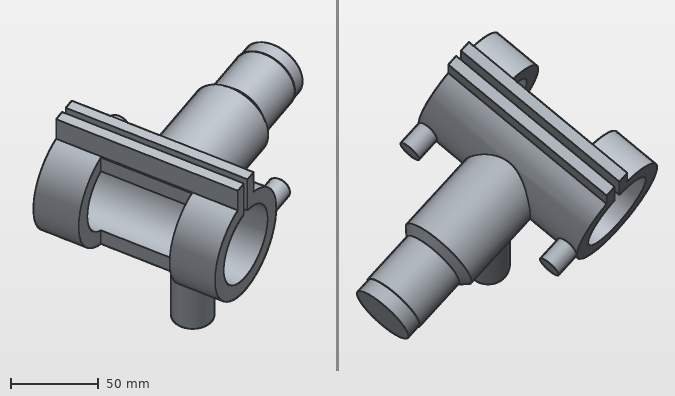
import cadquery as cq

saddle_length = 120.0
sleeve_radius = 35.0
bore_radius = 25.0
lug_top = 49.1
lug_outer_y = 9.0
split_width = 4.0

window_width = saddle_length / 2
window_edge_y = -9.7

tower_end = 134.9
tower_radius = 25.0
neck_radius = 20.0
shoulder_y = 91.2
shoulder_length = tower_radius - neck_radius

head_radius = 19.5
head_length = 9.5
shank_radius = 10.0
neck_end = tower_end - head_length

outlet_radius = 12.5
outlet_y = 43.1
outlet_bottom = -116.7

stub_radius = 7.1
stub_end = 50.6
stub_x = saddle_length / 2 - stub_radius


def cylinder_along_y(radius, start, end, x=0):
    return cq.Workplane("XZ", origin=(x, start, 0)).circle(radius).extrude(start - end)


def cylinder_along_x(radius):
    return cq.Workplane("YZ").circle(radius).extrude(saddle_length / 2, both=True)


def make_tower():
    """Tower with its tapered shoulder and neck, starting on the sleeve axis."""
    profile = [
        (0, 0),
        (tower_radius, 0),
        (tower_radius, shoulder_y - shoulder_length),
        (neck_radius, shoulder_y),
        (neck_radius, neck_end),
        (0, neck_end),
    ]
    return cq.Workplane("XY").polyline(profile).close().revolve(360, (0, 0), (0, 1))


def make_outlet():
    return (
        cq.Workplane("XY", origin=(0, outlet_y, outlet_bottom))
        .circle(outlet_radius)
        .extrude(-outlet_bottom)
    )


def make_window():
    return cq.Workplane("XY").box(
        window_width, sleeve_radius, 2 * sleeve_radius, centered=(True, False, True)
    ).translate((0, window_edge_y - sleeve_radius, 0))


def make_saddle():
    """Sleeve with lugs, tower, outlet and stubs, bored for the pipe and the plug."""
    lugs = cq.Workplane("XY").box(
        saddle_length, 2 * lug_outer_y, lug_top, centered=(True, True, False)
    )
    split = cq.Workplane("XY").box(
        saddle_length, split_width, lug_top, centered=(True, True, False)
    )
    saddle = cylinder_along_x(sleeve_radius).union(lugs).union(make_tower()).union(make_outlet())
    for x in (-stub_x, stub_x):
        saddle = saddle.union(cylinder_along_y(stub_radius, bore_radius, stub_end, x))
    saddle = saddle.cut(cylinder_along_x(bore_radius)).cut(split).cut(make_window())
    return saddle.cut(cylinder_along_y(shank_radius, 0, neck_end))


def make_plug():
    """Plug whose shank ends level with the back of the pipe bore."""
    shank = cylinder_along_y(shank_radius, bore_radius, neck_end)
    head = cylinder_along_y(head_radius, neck_end, tower_end)
    return shank.union(head)


saddle = make_saddle()
plug = make_plug()
result = cq.Compound.makeCompound([saddle.val(), plug.val()])